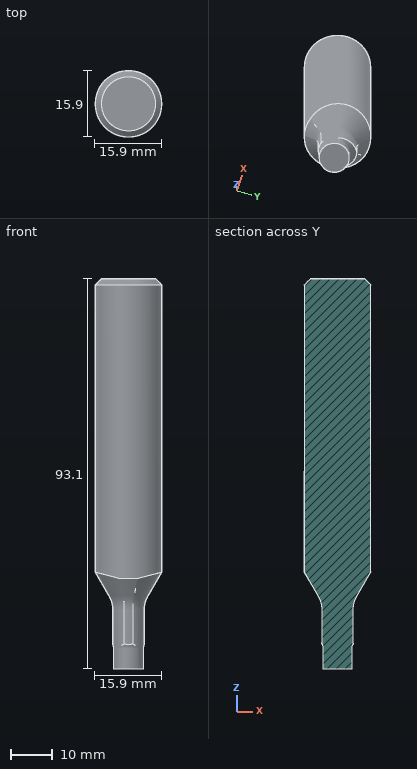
import cadquery as cq
import math

total_length = 93.1
shank_diameter = 15.88
shank_radius = shank_diameter / 2
shank_chamfer = 1.5
clear_radius = 2 * shank_radius

neck_half_width = 3.78
neck_half_depth = 4.64
side_arc_offset = 1.32
side_arc_radius = neck_half_width + side_arc_offset
flare_start = 14.3
flare_fillet = 6.0
flare_angle = math.radians(30)

tip_radius = 3.58
tip_centre_y = -0.83
tip_length = 4.95
tip_fillet = 2.2
tip_fillet_angle = math.radians(33)
shoulder_reach = 4.0


def fillet_point(radius, height, fillet, angle):
    """Point on a concave fillet that leaves a vertical wall, where it has turned by angle."""
    return (radius + fillet * (1 - math.cos(angle)), height + fillet * math.sin(angle))


def flared_round(radius, straight, fillet, angle, top, centre):
    """Solid of revolution: straight wall, concave fillet, then a cone up to the top height."""
    middle = fillet_point(radius, straight, fillet, angle / 2)
    end = fillet_point(radius, straight, fillet, angle)
    cone_radius = end[0] + (top - end[1]) * math.tan(angle)
    profile = (
        cq.Workplane("XZ", origin=(centre[0], centre[1], 0))
        .lineTo(radius, 0)
        .lineTo(radius, straight)
        .threePointArc(middle, end)
        .lineTo(cone_radius, top)
        .lineTo(0, top)
        .close()
    )
    return profile.revolve(360, (0, 0, 0), (0, 1, 0))


def flare(radius, centre_x):
    """One flared round of the neck, tall enough to clear the shank."""
    return flared_round(radius, flare_start, flare_fillet, flare_angle, total_length, (centre_x, 0))


def make_shank():
    """Round bar with a chamfered upper end."""
    bar = cq.Workplane("XY").circle(shank_radius).extrude(total_length)
    return bar.faces(">Z").chamfer(shank_chamfer)


def make_tip_envelope():
    """Everything the tip cut leaves: eccentric tip, shoulder, and all the space above them."""
    shoulder_top = fillet_point(tip_radius, tip_length, tip_fillet, tip_fillet_angle)[1] + shoulder_reach
    tip = flared_round(
        tip_radius, tip_length, tip_fillet, tip_fillet_angle, shoulder_top, (0, tip_centre_y)
    )
    above = (
        cq.Workplane("XY", origin=(0, 0, shoulder_top))
        .circle(clear_radius)
        .extrude(total_length - shoulder_top)
    )
    return tip.union(above)


result = make_shank().intersect(flare(neck_half_depth, 0))
for side in (-1, 1):
    result = result.intersect(flare(side_arc_radius, side * side_arc_offset))
result = result.intersect(make_tip_envelope())